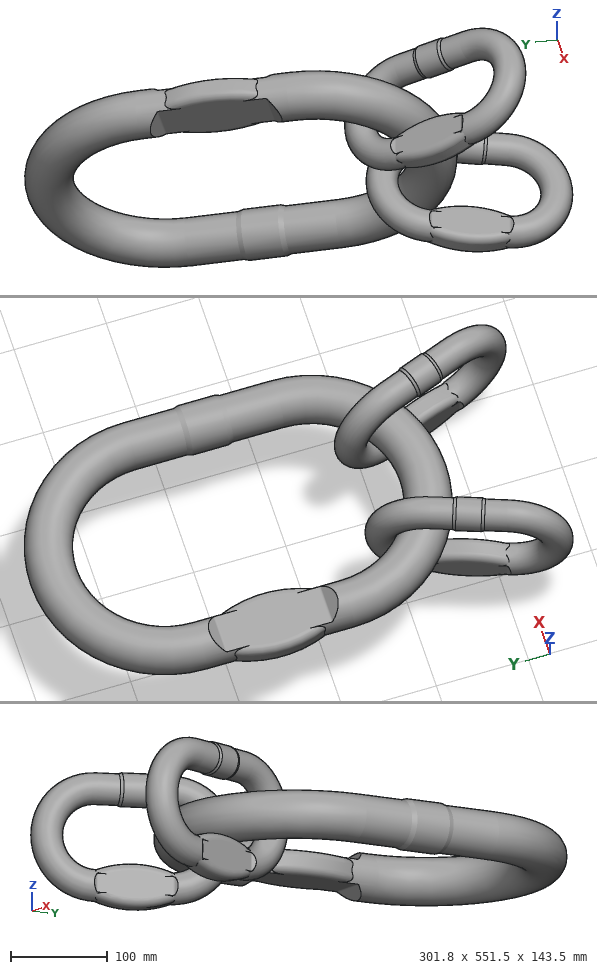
import cadquery as cq

MASTER_WIRE = 50.0
MASTER_INNER_WIDTH = 190.5
MASTER_STRAIGHT = 160.0
MASTER_COLLAR_DIA = 53.5
MASTER_COLLAR_LENGTH = 50.0
MASTER_COLLAR_TAPER = 5.5
MASTER_FLAT_LENGTH = 115.0
MASTER_BULGE_WIDTH = 69.0
MASTER_BULGE_LENGTH = 95.0

SUB_WIRE = 33.0
SUB_INNER_WIDTH = 69.5
SUB_STRAIGHT = 80.0
SUB_COLLAR_DIA = 35.5
SUB_COLLAR_LENGTH = 33.0
SUB_COLLAR_TAPER = 3.5
SUB_FLAT_LENGTH = 81.5
SUB_BULGE_WIDTH = 46.5
SUB_BULGE_LENGTH = 75.5

WELD_THICKNESS = 26.5
WELD_EDGE_FILLET = 8.0
FLAT_CORNER_FILLET = 3.5

SUB_TILT = 20
SUB_X = 84.0
SUB_Y = -224.0


def oval_ring(wire_dia, bend_radius, straight):
    """Round wire swept along two straight sides and two half-circle ends."""
    half = straight / 2
    path = (
        cq.Workplane("XY")
        .moveTo(bend_radius, -half)
        .lineTo(bend_radius, half)
        .threePointArc((0, half + bend_radius), (-bend_radius, half))
        .lineTo(-bend_radius, -half)
        .threePointArc((0, -half - bend_radius), (bend_radius, -half))
        .close()
    )
    start = cq.Workplane("XZ", origin=(bend_radius, -half, 0))
    return start.circle(wire_dia / 2).sweep(path)


def tapered_collar(wire_dia, collar_dia, length, taper):
    """Slightly thicker sleeve along Y, tapering down to the wire at both ends."""
    half = length / 2
    profile = (
        cq.Workplane("XY")
        .moveTo(0, -half)
        .lineTo(wire_dia / 2, -half)
        .lineTo(collar_dia / 2, -half + taper)
        .lineTo(collar_dia / 2, half - taper)
        .lineTo(wire_dia / 2, half)
        .lineTo(0, half)
        .close()
    )
    return profile.revolve(360, (0, 0, 0), (0, 1, 0))


def weld_flat_cutter(wire_dia, floor_length):
    """Cutter that flattens the top of the wire, with 45 degree end slopes and rounded corners."""
    floor = WELD_THICKNESS / 2
    top = wire_dia
    half_floor = floor_length / 2
    half_top = half_floor + top - floor
    return (
        cq.Workplane("YZ")
        .moveTo(-half_floor, floor)
        .lineTo(half_floor, floor)
        .lineTo(half_top, top)
        .lineTo(-half_top, top)
        .close()
        .extrude(wire_dia / 2, both=True)
        .edges("|X and <Z")
        .fillet(FLAT_CORNER_FILLET)
    )


def rounded_disc(radius):
    """Disc as thick as the weld section, with both rims rounded."""
    disc = cq.Workplane("XY").circle(radius).extrude(WELD_THICKNESS / 2, both=True)
    return disc.faces("|Z").edges().fillet(WELD_EDGE_FILLET)


def weld_bulge(wire_dia, width, length):
    """Lens-shaped plate bowing out of both sides of the wire; length is measured at the wire side."""
    half = length / 2
    sagitta = (width - wire_dia) / 2
    arc_radius = (half**2 + sagitta**2) / (2 * sagitta)
    disc = rounded_disc(arc_radius)
    offset = arc_radius - width / 2
    return disc.translate((offset, 0, 0)).intersect(disc.translate((-offset, 0, 0)))


def make_link(wire_dia, inner_width, straight, collar, flat_length, bulge):
    """Welded oval link in the XY plane, long along Y, weld at -X and collar at +X."""
    bend_radius = (inner_width + wire_dia) / 2
    weld_centre = (-bend_radius, 0, 0)
    cutter = weld_flat_cutter(wire_dia, flat_length).translate(weld_centre)
    return (
        oval_ring(wire_dia, bend_radius, straight)
        .union(collar.translate((bend_radius, 0, 0)))
        .cut(cutter)
        .cut(cutter.mirror("XY"))
        .union(bulge.translate(weld_centre))
    )


def make_master_link():
    """Large link lying flat."""
    collar = tapered_collar(MASTER_WIRE, MASTER_COLLAR_DIA, MASTER_COLLAR_LENGTH, MASTER_COLLAR_TAPER)
    bulge = weld_bulge(MASTER_WIRE, MASTER_BULGE_WIDTH, MASTER_BULGE_LENGTH)
    return make_link(
        MASTER_WIRE, MASTER_INNER_WIDTH, MASTER_STRAIGHT, collar, MASTER_FLAT_LENGTH, bulge
    )


def make_sub_link(side):
    """Small upright link, collar up and weld down, tilted outwards; side is -1 or +1 along X."""
    collar = tapered_collar(SUB_WIRE, SUB_COLLAR_DIA, SUB_COLLAR_LENGTH, SUB_COLLAR_TAPER)
    bulge = weld_bulge(SUB_WIRE, SUB_BULGE_WIDTH, SUB_BULGE_LENGTH)
    flat_link = make_link(SUB_WIRE, SUB_INNER_WIDTH, SUB_STRAIGHT, collar, SUB_FLAT_LENGTH, bulge)
    upright = flat_link.rotate((0, 0, 0), (0, 1, 0), -90)
    tilted = upright.rotate((0, 0, 0), (0, 0, 1), side * SUB_TILT)
    return tilted.translate((side * SUB_X, SUB_Y, 0))


master_link = make_master_link()
sub_links = [make_sub_link(side) for side in (-1, 1)]

solids = list(master_link.solids().vals())
for sub_link in sub_links:
    solids.extend(sub_link.solids().vals())
result = cq.Compound.makeCompound(solids)